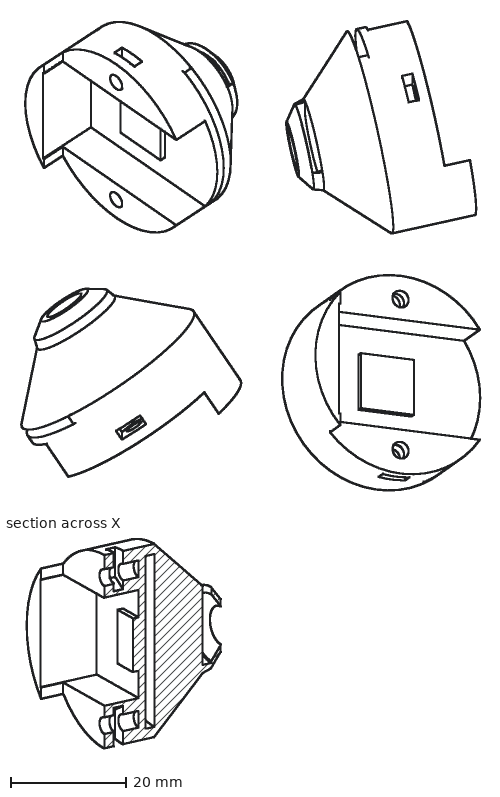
import cadquery as cq
import math


body_radius = 18.0
body_length = 10.25
cone_length = 10.0
neck_radius = 8.12
neck_length = 1.7
lip_radius = 7.6
tip_length = 2.0
tip_radius = 4.9
tip_wall = 1.4

mount_y = -body_length
lip_y = cone_length + neck_length
tip_y = lip_y + tip_length

overall_length = 28.5
ledge_length = overall_length - tip_y - body_length
ledge_inner_x = -13.3

channel_width = 20.0
channel_depth = 7.0
channel_end_x = -13.5
channel_floor_y = mount_y + channel_depth

pad_size = 10.0
pad_height = 1.1

lens_slot_radius = 16.0
lens_slot_thickness = 1.7
filter_slot_radius = 6.5
neck_rim_z = 4.3
lip_rim_z = 3.95

screw_diameter = 3.0
screw_offset = 13.75
screw_end_shift = 0.23
nut_width = 5.0
nut_thickness = 1.85
nut_depth = 2.0


def box_between(x_range, y_range, z_range):
    """Axis-aligned box spanning the given (low, high) ranges."""
    sizes = [high - low for low, high in (x_range, y_range, z_range)]
    corner = (x_range[0], y_range[0], z_range[0])
    return cq.Workplane("XY").box(*sizes, centered=False).translate(corner)


def rod(radius, y_start, y_end, z=0.0):
    """Cylinder parallel to Y from y_start to y_end."""
    direction = cq.Vector(0, 1, 0)
    start = cq.Vector(0, y_start, z)
    return cq.Workplane(cq.Solid.makeCylinder(radius, y_end - y_start, start, direction))


def make_envelope():
    """Cylinder, cone, neck and tapered tip in one revolution about Y."""
    profile = [
        (0, mount_y),
        (body_radius, mount_y),
        (body_radius, 0),
        (neck_radius, cone_length),
        (lip_radius, lip_y),
        (tip_radius, tip_y),
        (0, tip_y),
    ]
    return cq.Workplane("XY").polyline(profile).close().revolve(360, (0, 0, 0), (0, 1, 0))


def make_ledge():
    """Circular segment that continues the body wall past the mounting face."""
    ledge_y = mount_y - ledge_length
    segment = box_between(
        (-body_radius, ledge_inner_x), (ledge_y, mount_y), (-body_radius, body_radius)
    )
    return rod(body_radius, ledge_y, mount_y).intersect(segment)


def make_channel():
    """Rectangular channel that leaves the square pad standing on its floor."""
    half_width = channel_width / 2
    half_pad = pad_size / 2
    channel = box_between(
        (channel_end_x, body_radius),
        (mount_y - ledge_length, channel_floor_y),
        (-half_width, half_width),
    )
    pad = box_between(
        (-half_pad, half_pad),
        (channel_floor_y - pad_height, channel_floor_y),
        (-half_pad, half_pad),
    )
    return channel.cut(pad)


def make_lens_slot():
    """Slot behind the shoulder, round at its inner end and open to +X."""
    y_range = (-lens_slot_thickness, 0)
    mouth = box_between((0, body_radius), y_range, (-lens_slot_radius, lens_slot_radius))
    return rod(lens_slot_radius, *y_range).union(mouth)


def make_filter_slot():
    """Slot across the neck, round at its inner end and open to +Z.

    The neck wall beside the slot is cut down to a sloping rim.
    """
    y_range = (cone_length, lip_y)
    mouth = box_between((-filter_slot_radius, filter_slot_radius), y_range, (0, neck_radius))
    above_rim = (
        cq.Workplane("YZ", origin=(-neck_radius, 0, 0))
        .moveTo(cone_length, neck_rim_z)
        .lineTo(lip_y, lip_rim_z)
        .lineTo(lip_y, neck_radius)
        .lineTo(cone_length, neck_radius)
        .close()
        .extrude(2 * neck_radius)
    )
    return rod(filter_slot_radius, *y_range).union(mouth).union(above_rim)


def make_tip_bore():
    """Bore through the tip, from the filter slot to the tip face, tapering with it."""
    start = cq.Vector(0, lip_y, 0)
    direction = cq.Vector(0, 1, 0)
    start_radius = lip_radius - tip_wall
    end_radius = tip_radius - tip_wall
    return cq.Workplane(cq.Solid.makeCone(start_radius, end_radius, tip_length, start, direction))


def make_screw_cut(side):
    """Screw hole and nut trap on the +Z (side = 1) or -Z (side = -1) half.

    The trap is a hexagon with a corner toward the axis, open to the outside.
    The hole runs slightly further from the axis beyond the trap.
    """
    nut_start_y = mount_y + nut_depth
    nut_end_y = nut_start_y + nut_thickness
    screw_radius = screw_diameter / 2
    half_nut = nut_width / 2
    corner_reach = nut_width / math.sqrt(3)
    shoulder_z = screw_offset - corner_reach / 2
    trap_profile = [
        (-half_nut, side * body_radius),
        (-half_nut, side * shoulder_z),
        (0, side * (screw_offset - corner_reach)),
        (half_nut, side * shoulder_z),
        (half_nut, side * body_radius),
    ]
    trap = (
        cq.Workplane("XZ", origin=(0, nut_start_y, 0))
        .polyline(trap_profile)
        .close()
        .extrude(-nut_thickness)
    )
    entry = rod(screw_radius, mount_y, nut_end_y, side * screw_offset)
    end = rod(screw_radius, nut_end_y, channel_floor_y, side * (screw_offset + screw_end_shift))
    return trap.union(entry).union(end)


result = make_envelope().union(make_ledge())
result = result.cut(make_channel())
result = result.cut(make_lens_slot())
result = result.cut(make_filter_slot())
result = result.cut(make_tip_bore())
for side in (1, -1):
    result = result.cut(make_screw_cut(side))